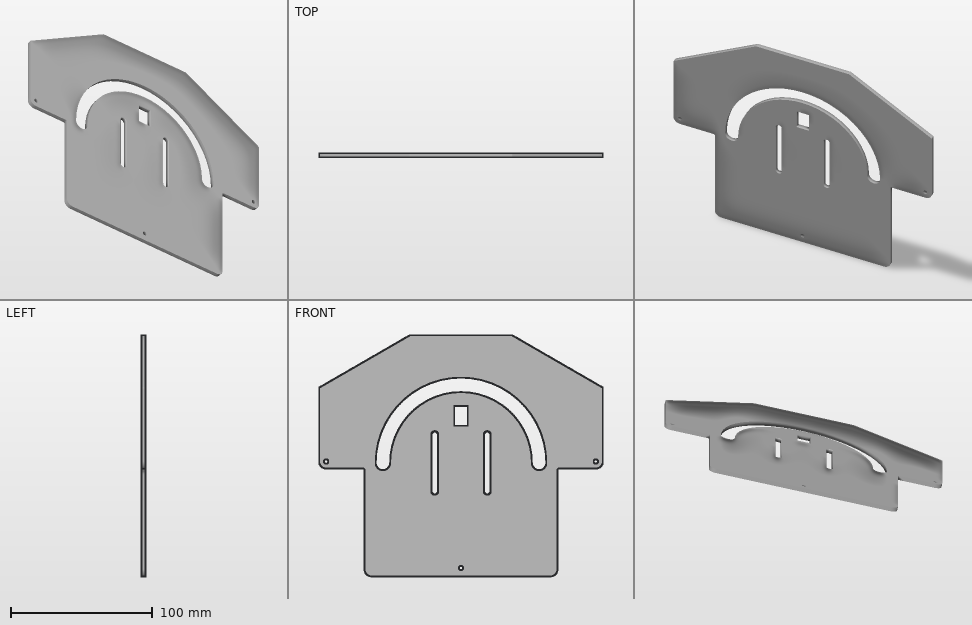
import cadquery as cq
import math


thickness = 3.0
wing_half_width = 100.0
body_half_width = 68.0
top_half_width = 36.0
top_z = 90.0
wing_bottom_z = -4.0
body_bottom_z = -80.0
shoulder_slope = 30.0
shoulder_z = top_z - (wing_half_width - top_half_width) * math.tan(math.radians(shoulder_slope))
bottom_corner_radius = 5.0
small_corner_radius = 1.0

arc_mid_radius = 55.0
arc_slot_width = 10.0

rim_chamfer = 0.5
chamfer_angle = 45.0

slot_spacing = 37.0
slot_width = 5.0
slot_length = 45.0

window_width = 9.2
window_height = 13.8
window_centre_z = 33.2

hole_diameter = 3.0
wing_hole_x = 95.0
wing_hole_z = 1.0
bottom_hole_z = -74.0


def front_face():
    """Workplane on the front face, with local X and Y along the part's X and Z."""
    return cq.Workplane("XZ", origin=(0, -thickness / 2, 0))


def through(sketch):
    """Extrude a closed sketch on the front face through the full thickness."""
    return sketch.extrude(-thickness)


def chamfered_rim(sketch):
    """Taper a closed sketch on the front face inward to the depth of the rim chamfer."""
    return sketch.extrude(-rim_chamfer, taper=chamfer_angle)


def round_corners(body, corners, radius):
    """Fillet the edges across the thickness at the given (x, z) corners and their mirror images."""
    for x, z in corners:
        for side in (-1, 1):
            nearest = cq.selectors.NearestToPointSelector((side * x, 0, z))
            body = body.edges("|Y").edges(nearest).fillet(radius)
    return body


def make_plate():
    top_corner = (top_half_width, top_z)
    shoulder_corner = (wing_half_width, shoulder_z)
    wing_corner = (wing_half_width, wing_bottom_z)
    inner_corner = (body_half_width, wing_bottom_z)
    body_corner = (body_half_width, body_bottom_z)

    right_side = [top_corner, shoulder_corner, wing_corner, inner_corner, body_corner]
    left_side = [(-x, z) for x, z in reversed(right_side)]
    plate = through(front_face().polyline(right_side + left_side).close())

    plate = round_corners(plate, [top_corner, shoulder_corner, inner_corner], small_corner_radius)
    return round_corners(plate, [wing_corner, body_corner], bottom_corner_radius)


def make_arc_slot():
    outer_radius = arc_mid_radius + arc_slot_width / 2
    inner_radius = arc_mid_radius - arc_slot_width / 2
    end_z = -arc_slot_width / 2
    return through(
        front_face()
        .moveTo(-outer_radius, 0)
        .threePointArc((0, outer_radius), (outer_radius, 0))
        .threePointArc((arc_mid_radius, end_z), (inner_radius, 0))
        .threePointArc((0, inner_radius), (-inner_radius, 0))
        .threePointArc((-arc_mid_radius, end_z), (-outer_radius, 0))
        .close()
    )


def make_straight_slot(centre_x):
    """Upright through slot with its rims chamfered on both faces."""
    plane = front_face().center(centre_x, 0)
    inner_length = slot_length - 2 * rim_chamfer
    inner_width = slot_width - 2 * rim_chamfer
    slot = through(plane.slot2D(inner_length, inner_width, 90))
    front_rim = chamfered_rim(plane.slot2D(slot_length, slot_width, 90))
    return slot.union(front_rim).union(front_rim.mirror("XZ"))


def make_window():
    """Rectangular opening with its rear rim chamfered."""
    plane = front_face().center(0, window_centre_z)
    rim_width = window_width + 2 * rim_chamfer
    rim_height = window_height + 2 * rim_chamfer
    opening = through(plane.rect(window_width, window_height))
    rear_rim = chamfered_rim(plane.rect(rim_width, rim_height)).mirror("XZ")
    return opening.union(rear_rim)


def make_holes():
    centres = [(-wing_hole_x, wing_hole_z), (wing_hole_x, wing_hole_z), (0, bottom_hole_z)]
    return through(front_face().pushPoints(centres).circle(hole_diameter / 2))


result = make_plate().cut(make_arc_slot()).cut(make_window()).cut(make_holes())
for side in (-1, 1):
    result = result.cut(make_straight_slot(side * slot_spacing / 2))